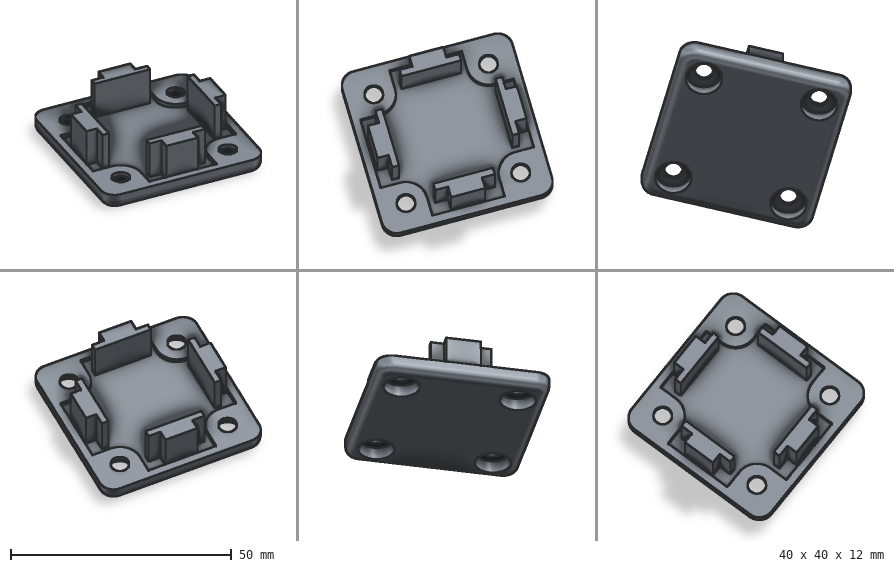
import cadquery as cq

plate_side = 40.0
plate_height = 4.0
corner_radius = 3.5
bottom_fillet = 2.3

pocket_depth = 1.0
rim_width = 2.0
pocket_side = plate_side - 2 * rim_width
arm_width = 16.95
pad_radius = 5.0

hole_diameter = 4.2
counterbore_diameter = 8.2
counterbore_depth = 3.0
hole_offset = arm_width / 2 + pad_radius

total_height = 12.0
tab_clearance = 0.5
flange_width = 14.0
flange_thickness = 1.6
stem_width = 8.0
stem_length = 2.6

floor_z = plate_height - pocket_depth
tab_height = total_height - floor_z
tab_outer = pocket_side / 2 - tab_clearance
flange_outer = tab_outer - stem_length


def box_on_floor(size_x, size_y, height):
    """Box centred in X and Y, with its base on the pocket floor."""
    return (
        cq.Workplane("XY")
        .workplane(offset=floor_z)
        .box(size_x, size_y, height, centered=(True, True, False))
    )


def make_plate():
    """Square plate with rounded corners and a rounded bottom edge."""
    plate = cq.Workplane("XY").box(
        plate_side, plate_side, plate_height, centered=(True, True, False)
    )
    return plate.edges("|Z").fillet(corner_radius).faces("<Z").edges().fillet(bottom_fillet)


def make_pocket():
    """Cross whose inner corners curve around the screw holes."""
    along_x = box_on_floor(pocket_side, arm_width, pocket_depth)
    along_y = box_on_floor(arm_width, pocket_side, pocket_depth)
    inner_region = cq.selectors.BoxSelector(
        (-hole_offset, -hole_offset, floor_z),
        (hole_offset, hole_offset, plate_height),
    )
    cross = along_x.union(along_y)
    return cross.edges("|Z").edges(inner_region).fillet(pad_radius)


def make_hole():
    """Through bore with a counterbore opening at the bottom face."""
    bore = cq.Workplane("XY").circle(hole_diameter / 2).extrude(plate_height)
    counterbore = cq.Workplane("XY").circle(counterbore_diameter / 2).extrude(counterbore_depth)
    return bore.union(counterbore)


def make_tab():
    """T-shaped tab on the +X side, with its stem pointing outward."""
    flange = box_on_floor(flange_thickness, flange_width, tab_height)
    stem = box_on_floor(stem_length, stem_width, tab_height)
    flange = flange.translate((flange_outer - flange_thickness / 2, 0, 0))
    return flange.union(stem.translate((tab_outer - stem_length / 2, 0, 0)))


result = make_plate().cut(make_pocket())

for x_sign in (-1, 1):
    for y_sign in (-1, 1):
        hole_position = (x_sign * hole_offset, y_sign * hole_offset, 0)
        result = result.cut(make_hole().translate(hole_position))

for angle in (0, 90, 180, 270):
    result = result.union(make_tab().rotate((0, 0, 0), (0, 0, 1), angle))